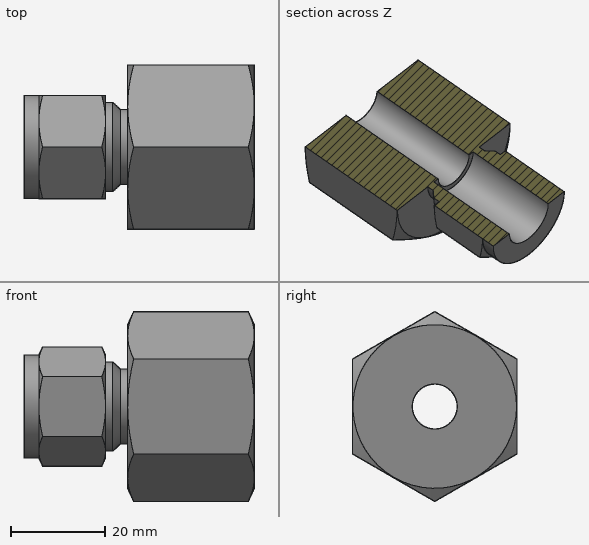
import cadquery as cq
import math

total_length = 49.0
collar_length = 3.15
nut_length = 14.2
shoulder_length = 1.5
neck_length = 1.5
body_length = 27.0
body_start = total_length - body_length
nut_start = collar_length
nut_end = nut_start + nut_length
shoulder_end = nut_end + shoulder_length
neck_start = body_start - neck_length

nut_flats = 22.0
nut_face_diameter = 21.9
body_flats = 35.0
body_face_diameter = 34.8
hex_chamfer_angle = 25.0

collar_diameter = nut_flats
shoulder_diameter = 19.0
neck_diameter = 16.0
tube_bore_diameter = 12.0
tube_bore_depth = body_start
through_bore_diameter = 9.5


def revolve_about_x(profile):
    """Solid of revolution about X from a closed (x, radius) profile."""
    return cq.Workplane("XY").polyline(profile).close().revolve(360, (0, 0, 0), (1, 0, 0))


def cylinder(start, end, diameter):
    """Cylinder along X between two stations."""
    return cq.Workplane("YZ").workplane(offset=start).circle(diameter / 2).extrude(end - start)


def chamfered_hex(start, end, flats, face_diameter):
    """Hexagonal prism along X whose corners are cut by a cone at both ends."""
    corner_radius = flats / math.sqrt(3)
    face_radius = face_diameter / 2
    chamfer_depth = (corner_radius - face_radius) * math.tan(math.radians(hex_chamfer_angle))
    margin = 0.5
    envelope_radius = corner_radius + margin
    envelope_depth = chamfer_depth + margin * math.tan(math.radians(hex_chamfer_angle))

    prism = (
        cq.Workplane("YZ")
        .workplane(offset=start)
        .transformed(rotate=(0, 0, 90))
        .polygon(6, 2 * corner_radius)
        .extrude(end - start)
    )
    envelope = revolve_about_x([
        (start, 0),
        (start, face_radius),
        (start + envelope_depth, envelope_radius),
        (end - envelope_depth, envelope_radius),
        (end, face_radius),
        (end, 0),
    ])
    return prism.intersect(envelope)


collar = cylinder(0, nut_start, collar_diameter)
nut = chamfered_hex(nut_start, nut_end, nut_flats, nut_face_diameter)

stem = revolve_about_x([
    (nut_end, 0),
    (nut_end, shoulder_diameter / 2),
    (shoulder_end, shoulder_diameter / 2),
    (neck_start, neck_diameter / 2),
    (body_start, neck_diameter / 2),
    (body_start, 0),
])

body = chamfered_hex(body_start, total_length, body_flats, body_face_diameter)

tube_bore = cylinder(0, tube_bore_depth, tube_bore_diameter)
through_bore = cylinder(0, total_length, through_bore_diameter)

result = collar.union(nut).union(stem).union(body).cut(tube_bore).cut(through_bore)